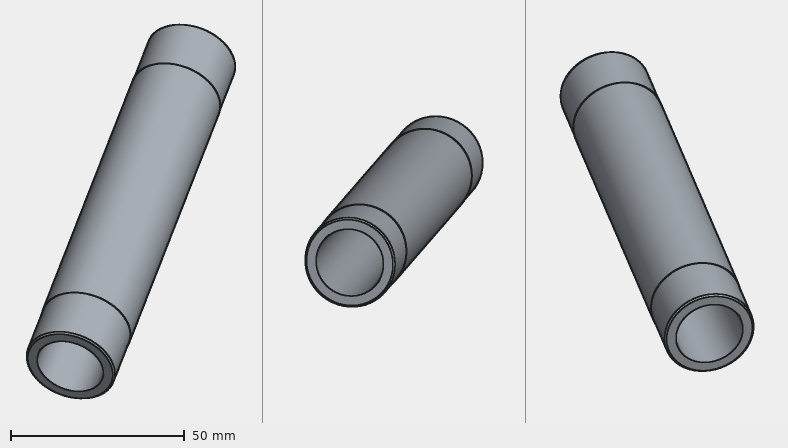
import cadquery as cq

length = 130.0
body_diameter = 26.6
end_diameter = 26.4
bore_diameter = 19.8
end_length = 16.9
rim_chamfer = 0.5

body_length = length - 2 * end_length


def centred_cylinder(diameter, height):
    """Cylinder along Y, centred on the origin."""
    base = cq.Workplane("XZ").workplane(offset=-height / 2)
    return base.circle(diameter / 2).extrude(height)


ends = centred_cylinder(end_diameter, length).faces("<Y or >Y").chamfer(rim_chamfer)

body = centred_cylinder(body_diameter, body_length)
bore = centred_cylinder(bore_diameter, length)

result = ends.union(body).cut(bore)